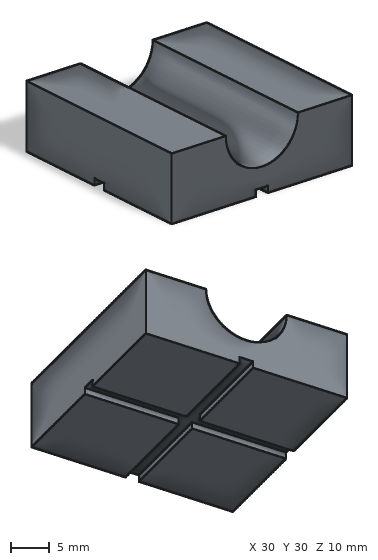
import cadquery as cq

side = 30.0
height = side / 3
channel_radius = side / 5
slot_width = side / 15
slot_depth = slot_width / 2


def bottom_slot(length_x, length_y):
    """Shallow cutter rising from the bottom face, centred on the block."""
    return cq.Workplane("XY").rect(length_x, length_y).extrude(slot_depth)


block = cq.Workplane("XY").rect(side, side).extrude(height)

channel = (
    cq.Workplane("YZ", origin=(-side / 2, 0, height))
    .circle(channel_radius)
    .extrude(side)
)

slot_along_x = bottom_slot(side, slot_width)
slot_along_y = bottom_slot(slot_width, side)

result = block.cut(channel).cut(slot_along_x).cut(slot_along_y)